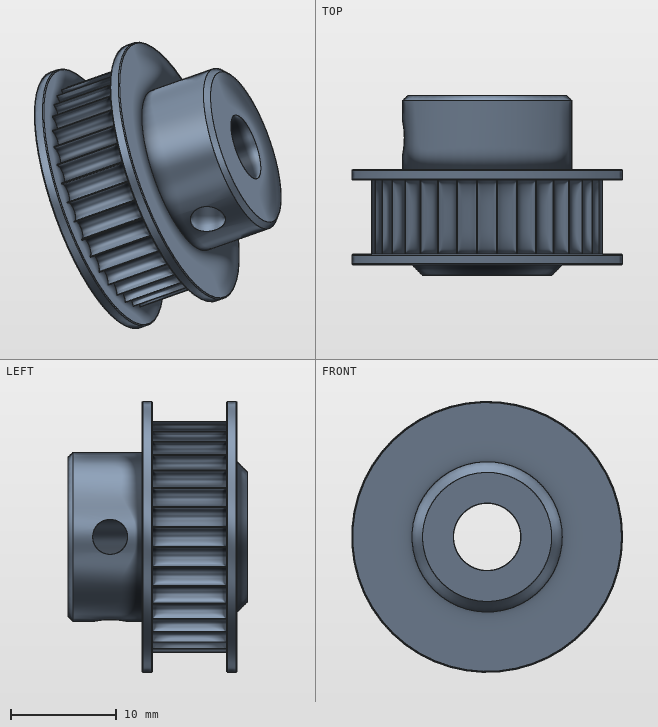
import cadquery as cq
import math

boss_length = 1.0
boss_base_diameter = 14.2
flange_thickness = 1.0
flange_diameter = 25.6
flange_edge_chamfer = 0.1
belt_width = 7.0
hub_length = 7.0
hub_diameter = 16.0
hub_chamfer = 0.5
bore_diameter = 6.35

tooth_count = 36
tooth_tip_diameter = 21.9
tooth_tip_width = 0.09
groove_depth = 1.2
groove_flank_length = 0.36
groove_overlap = 0.5

set_screw_diameter = 3.3
set_screw_from_flange = 3.0
set_screw_directions = [(-1, 0, 0), (0, 0, -1)]

front_flange_y = boss_length
belt_y = front_flange_y + flange_thickness
rear_flange_y = belt_y + belt_width
hub_y = rear_flange_y + flange_thickness
overall_length = hub_y + hub_length


def disc(start_y, length, diameter):
    """Cylinder on the pulley axis, growing toward +Y."""
    return cq.Workplane("XZ", origin=(0, start_y, 0)).circle(diameter / 2).extrude(-length)


def make_flange(start_y):
    return disc(start_y, flange_thickness, flange_diameter).edges().chamfer(flange_edge_chamfer)


def make_boss():
    """Front boss, tapering at 45 degrees over its whole length."""
    base_radius = boss_base_diameter / 2
    face_radius = base_radius - boss_length
    profile = (
        cq.Workplane("XY")
        .polyline([(0, 0), (face_radius, 0), (base_radius, boss_length), (0, boss_length)])
        .close()
    )
    return profile.revolve(360, (0, 0, 0), (0, 1, 0))


def make_hub():
    return disc(hub_y, hub_length, hub_diameter).faces(">Y").edges().chamfer(hub_chamfer)


def make_groove():
    """Cutter for one belt groove: straight flanks with an arc at the root, opening toward +Z."""
    tip_radius = tooth_tip_diameter / 2
    half_pitch_angle = math.pi / tooth_count
    half_width = tip_radius * math.sin(half_pitch_angle) - tooth_tip_width / 2
    flank_top = tip_radius + groove_overlap
    flank_bottom = tip_radius * math.cos(half_pitch_angle) - groove_flank_length
    groove_root = tip_radius - groove_depth
    return (
        cq.Workplane("XZ", origin=(0, belt_y, 0))
        .moveTo(-half_width, flank_top)
        .lineTo(-half_width, flank_bottom)
        .threePointArc((0, groove_root), (half_width, flank_bottom))
        .lineTo(half_width, flank_top)
        .close()
        .extrude(-belt_width)
    )


def make_toothed_rim():
    groove = make_groove()
    rim = disc(belt_y, belt_width, tooth_tip_diameter)
    for index in range(tooth_count):
        angle = index * 360 / tooth_count
        rim = rim.cut(groove.rotate((0, 0, 0), (0, 1, 0), angle))
    return rim


def make_set_screw_hole(direction):
    """Radial hole from the bore axis out through the hub wall."""
    start = cq.Vector(0, hub_y + set_screw_from_flange, 0)
    hole = cq.Solid.makeCylinder(set_screw_diameter / 2, hub_diameter, start, cq.Vector(*direction))
    return cq.Workplane(obj=hole)


pulley = make_toothed_rim()
for section in (make_boss(), make_flange(front_flange_y), make_flange(rear_flange_y), make_hub()):
    pulley = pulley.union(section)

pulley = pulley.cut(disc(0, overall_length, bore_diameter))
for screw_direction in set_screw_directions:
    pulley = pulley.cut(make_set_screw_hole(screw_direction))

result = pulley